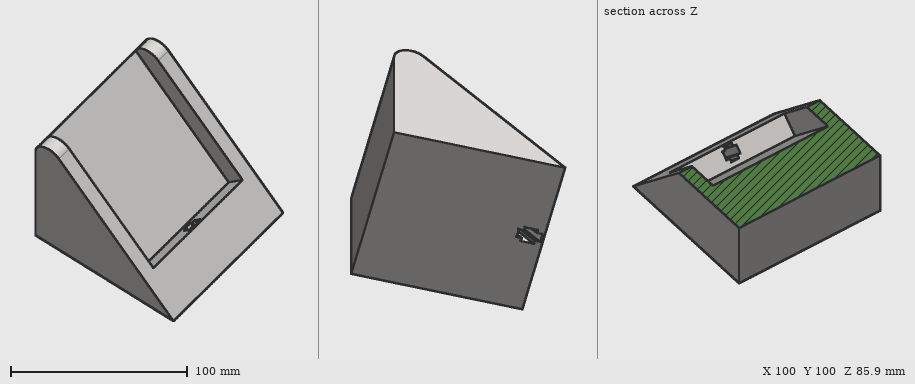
import cadquery as cq
import math

SIDE = 100.0
EDGE_RADIUS = 10.0

POCKET_WIDTH = 81.2
POCKET_DEPTH = 14.1
POCKET_END_X = 78.0

PLUS_SPAN = 9.7
PLUS_ARM_WIDTH = 5.4
PLUS_DEPTH_BELOW_SLOPE = 5.9

SLOPE_LENGTH = SIDE * math.sqrt(2)
POCKET_END_DISTANCE = (SIDE - POCKET_END_X) * math.sqrt(2)


def make_body():
    wedge = (
        cq.Workplane("XZ", origin=(0, SIDE / 2, 0))
        .polyline([(0, 0), (SIDE, 0), (0, SIDE)])
        .close()
        .extrude(SIDE)
    )
    return wedge.edges(">Z").fillet(EDGE_RADIUS)


def slope_box(start, end, width, bottom, top):
    slope = cq.Plane(origin=(SIDE, 0, 0), xDir=(-1, 0, 1), normal=(1, 0, 1))
    return (
        cq.Workplane(slope)
        .box(end - start, width, top - bottom, centered=(False, True, False))
        .translate(slope.toWorldCoords((start, 0, bottom)) - slope.origin)
    )


def make_pocket():
    return slope_box(POCKET_END_DISTANCE, SLOPE_LENGTH, POCKET_WIDTH, -POCKET_DEPTH, EDGE_RADIUS)


def make_plus_passage():
    def bar(width, height):
        bottom = -PLUS_DEPTH_BELOW_SLOPE - height / 2
        return slope_box(0, POCKET_END_DISTANCE, width, bottom, bottom + height)

    return bar(PLUS_SPAN, PLUS_ARM_WIDTH).union(bar(PLUS_ARM_WIDTH, PLUS_SPAN))


result = make_body().cut(make_pocket()).cut(make_plus_passage())